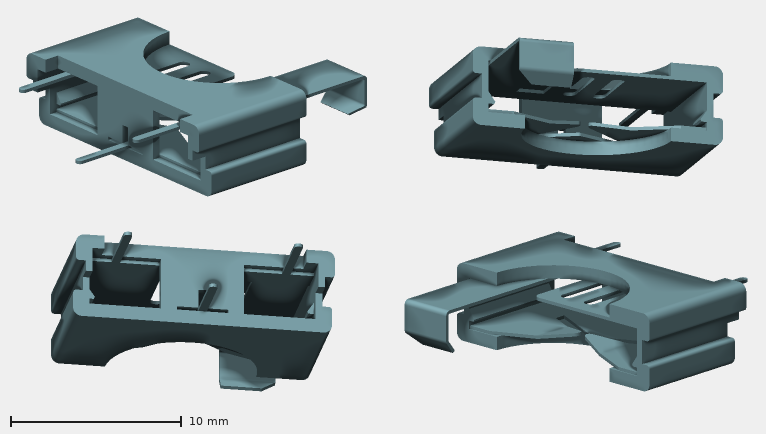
import cadquery as cq
import math


housing_width = 15.41
housing_height = 4.77
housing_depth = 7.36
ear_length = 0.97
ear_bottom = 2.47
ear_inner_x = 6.0
outer_corner_radius = 0.5
wall_thickness = 0.82
cavity_half_width = 6.72
groove_half_width = 7.13
groove_bottom = 1.65
groove_lip_radius = 0.2
web_half_width = 2.47
web_thickness = 0.5
thumb_radius = 4.5
key_slot_top = 2.17
slit_width = 3.06
rib_bottom = 1.35
rib_tip_z = 1.48
rib_top = 2.07
rib_reach = 0.4
rib_tip_setback = 0.07

sheet_thickness = 0.2
pin_width = 0.5
pin_length = 3.78
outer_pin_x = 5.08
corner_inner_radius = 0.1

strip_depth = 1.51
plate_right_x = 1.61
plate_corner_radius = 0.5
plate_slot_width = 0.77
plate_slot_spacing = 1.83
plate_slot_end_gap = 1.01
plate_rib_width = 1.08
arm_left_x = 3.3
arm_right_x = 6.62
arm_reach = 5.66
hook_bend_z = 2.03
hook_angle = 38.0
hook_inner_radius = 0.17
hook_length = 0.82
hook_cut_width = 0.89

finger_edge_angle = 25.0
finger_center_y = 4.77
finger_apex_x = -0.22
finger_tip_radius = 0.35
finger_rise_angle = 10.0
finger_bend_radius = 0.95
finger_bend_x = 2.59
lower_back_gap = 0.08
finger_root_x = 4.03
base_peak_y = 3.95
base_peak_radius = 0.2

half_width = housing_width / 2
cavity_bottom = wall_thickness
cavity_top = housing_height - wall_thickness
cavity_height = cavity_top - cavity_bottom
groove_top = housing_height - groove_bottom
sheet_front_y = web_thickness
arm_back_y = housing_depth + arm_reach
corner_outer_radius = corner_inner_radius + sheet_thickness
edge_slope = math.tan(math.radians(finger_edge_angle))


def box(x_min, x_max, y_min, y_max, z_min, z_max):
    """Box given by its limits along each axis."""
    size = (x_max - x_min, y_max - y_min, z_max - z_min)
    return cq.Workplane("XY").box(*size, centered=False).translate((x_min, y_min, z_min))


def make_pin(center_x, z_bottom):
    """Flat pin with a rounded tip, running forward from the front edge of a sheet."""
    radius = pin_width / 2
    tip_center_y = -pin_length + radius
    return (
        cq.Workplane("XY", origin=(center_x, 0, z_bottom))
        .moveTo(-radius, sheet_front_y)
        .lineTo(-radius, tip_center_y)
        .threePointArc((0, -pin_length), (radius, tip_center_y))
        .lineTo(radius, sheet_front_y)
        .close()
        .extrude(sheet_thickness)
    )


def make_housing_shell():
    """Block with rounded long edges, a groove along each side and a cavity from front to back."""
    shell = box(-half_width, half_width, -ear_length, housing_depth, 0, housing_height)
    shell = shell.edges("|Y").fillet(outer_corner_radius)
    for side in (-1, 1):
        x_limits = sorted((side * groove_half_width, side * half_width))
        shell = shell.cut(box(*x_limits, -ear_length, housing_depth, groove_bottom, groove_top))
        for lip_z in (groove_bottom, groove_top):
            lip = cq.selectors.NearestToPointSelector((side * half_width, housing_depth / 2, lip_z))
            shell = shell.edges("|Y").edges(lip).fillet(groove_lip_radius)
    cavity = box(-cavity_half_width, cavity_half_width, -ear_length, housing_depth, cavity_bottom, cavity_top)
    return shell.cut(cavity)


def make_front_web():
    """Thin wall in the middle of the front, slit for the lower contact and its pin."""
    web = box(-web_half_width, web_half_width, 0, web_thickness, cavity_bottom, cavity_top)
    slit_half = slit_width / 2
    slit = box(-slit_half, slit_half, 0, web_thickness, cavity_bottom, cavity_bottom + sheet_thickness)
    key_slot = box(-pin_width / 2, pin_width / 2, 0, web_thickness, cavity_bottom, key_slot_top)
    return web.cut(slit).cut(key_slot)


def make_retaining_rib(side):
    """Wedge along a side wall of the cavity."""
    wall_x = side * cavity_half_width
    tip_x = side * (cavity_half_width - rib_reach)
    foot_x = tip_x + side * rib_tip_setback
    return (
        cq.Workplane("XZ", origin=(0, web_thickness, 0))
        .polyline([(wall_x, rib_bottom), (foot_x, rib_bottom), (tip_x, rib_tip_z), (wall_x, rib_top)])
        .close()
        .extrude(web_thickness - housing_depth)
    )


def make_housing():
    housing = make_housing_shell()
    below_ears = box(-half_width, half_width, -ear_length, 0, 0, ear_bottom)
    between_ears = box(-ear_inner_x, ear_inner_x, -ear_length, 0, 0, housing_height)
    thumb_opening = (
        cq.Workplane("XY").center(0, housing_depth).circle(thumb_radius).extrude(housing_height)
    )
    housing = housing.cut(below_ears).cut(between_ears).cut(thumb_opening)
    housing = housing.union(make_front_web())
    for side in (-1, 1):
        housing = housing.union(make_retaining_rib(side))
    return housing


def make_slotted_plate(z_bottom):
    """Flat plate with two long round-ended slots."""
    thickness_limits = (z_bottom, z_bottom + sheet_thickness)
    plate = box(-cavity_half_width, plate_right_x, sheet_front_y, housing_depth, *thickness_limits)
    plate = plate.edges("|Z and >X and >Y").fillet(plate_corner_radius)
    slot_front_y = sheet_front_y + strip_depth
    slot_back_y = housing_depth - plate_slot_end_gap
    right_slot_x = plate_right_x - plate_rib_width - plate_slot_width / 2
    for slot_x in (right_slot_x - plate_slot_spacing, right_slot_x):
        slot = (
            cq.Workplane("XY", origin=(slot_x, (slot_front_y + slot_back_y) / 2, z_bottom))
            .slot2D(slot_back_y - slot_front_y, plate_slot_width, 90)
            .extrude(sheet_thickness)
        )
        plate = plate.cut(slot)
    return plate


def make_hooked_arm(z_bottom):
    """Strip bent down behind the housing, with a slanted end that has one corner cut off."""
    angle = math.radians(hook_angle)
    sin_a, cos_a = math.sin(angle), math.cos(angle)
    sin_half, cos_half = math.sin(angle / 2), math.cos(angle / 2)
    diagonal = math.sqrt(0.5)
    z_top = z_bottom + sheet_thickness
    inner_y = arm_back_y - sheet_thickness
    bend_y = arm_back_y - corner_outer_radius
    hook_outer_radius = hook_inner_radius + sheet_thickness
    hook_center_y = arm_back_y - hook_outer_radius
    upper_bend_z = z_top - corner_outer_radius
    lower_bend_z = hook_bend_z + hook_inner_radius * sin_a

    def upper_bend_point(radius):
        return (bend_y + radius * diagonal, upper_bend_z + radius * diagonal)

    def lower_bend_point(radius, sine, cosine):
        return (hook_center_y + radius * cosine, lower_bend_z - radius * sine)

    outer_start = lower_bend_point(hook_outer_radius, sin_a, cos_a)
    inner_start = lower_bend_point(hook_inner_radius, sin_a, cos_a)
    outer_end = (outer_start[0] - hook_length * sin_a, outer_start[1] - hook_length * cos_a)
    inner_end = (inner_start[0] - hook_length * sin_a, inner_start[1] - hook_length * cos_a)
    arm = (
        cq.Workplane("YZ", origin=(arm_left_x, 0, 0))
        .moveTo(sheet_front_y, z_top)
        .lineTo(bend_y, z_top)
        .threePointArc(upper_bend_point(corner_outer_radius), (arm_back_y, upper_bend_z))
        .lineTo(arm_back_y, lower_bend_z)
        .threePointArc(lower_bend_point(hook_outer_radius, sin_half, cos_half), outer_start)
        .lineTo(*outer_end)
        .lineTo(*inner_end)
        .lineTo(*inner_start)
        .threePointArc(lower_bend_point(hook_inner_radius, sin_half, cos_half), (inner_y, lower_bend_z))
        .lineTo(inner_y, upper_bend_z)
        .threePointArc(upper_bend_point(corner_inner_radius), (bend_y, z_bottom))
        .lineTo(sheet_front_y, z_bottom)
        .close()
        .extrude(arm_right_x - arm_left_x)
    )
    hook_plane = cq.Plane(
        origin=(arm_right_x, *inner_start), xDir=(1, 0, 0), normal=(0, cos_a, -sin_a)
    )
    corner = (
        cq.Workplane(hook_plane)
        .polyline([(0, 0), (0, hook_length), (-hook_cut_width, hook_length)])
        .close()
        .extrude(sheet_thickness)
    )
    return arm.cut(corner)


def make_upper_contact():
    z_bottom = cavity_top - sheet_thickness
    contact = box(
        -cavity_half_width, cavity_half_width,
        sheet_front_y, sheet_front_y + strip_depth,
        z_bottom, cavity_top,
    )
    contact = contact.union(make_slotted_plate(z_bottom)).union(make_hooked_arm(z_bottom))
    for pin_x in (-outer_pin_x, outer_pin_x):
        contact = contact.union(make_pin(pin_x, z_bottom))
    return contact


def make_base_sheet(z_bottom):
    """Flat sheet with a rounded peak in the middle and an arm along each side wall."""
    root_back_y = finger_center_y + edge_slope * (finger_root_x - finger_apex_x)
    back_y = housing_depth - lower_back_gap
    arm_inner_x = finger_apex_x + (back_y - finger_center_y) / edge_slope
    gap_end_y = base_peak_y - edge_slope * finger_root_x
    sheet = (
        cq.Workplane("XY", origin=(0, 0, z_bottom))
        .polyline([
            (-cavity_half_width, sheet_front_y),
            (cavity_half_width, sheet_front_y),
            (cavity_half_width, back_y),
            (arm_inner_x, back_y),
            (finger_root_x, root_back_y),
            (finger_root_x, gap_end_y),
            (0, base_peak_y),
            (-finger_root_x, gap_end_y),
            (-finger_root_x, root_back_y),
            (-arm_inner_x, back_y),
            (-cavity_half_width, back_y),
        ])
        .close()
        .extrude(sheet_thickness)
    )
    peak = cq.selectors.NearestToPointSelector((0, base_peak_y, z_bottom + sheet_thickness / 2))
    return sheet.edges("|Z").edges(peak).fillet(base_peak_radius)


def make_right_finger(z_bottom):
    """Tapered spring finger: flat at its root, then bent up towards the middle."""
    rise = math.radians(finger_rise_angle)
    lower_radius = finger_bend_radius + sheet_thickness
    bend_center_z = z_bottom + lower_radius

    def bend_point(radius, angle):
        return (finger_bend_x - radius * math.sin(angle), bend_center_z - radius * math.cos(angle))

    def far_point(radius):
        x, z = bend_point(radius, rise)
        run = x - finger_apex_x
        return (finger_apex_x, z + run * math.tan(rise))

    bent_strip = (
        cq.Workplane("XZ")
        .moveTo(finger_root_x, z_bottom)
        .lineTo(finger_bend_x, z_bottom)
        .threePointArc(bend_point(lower_radius, rise / 2), bend_point(lower_radius, rise))
        .lineTo(*far_point(lower_radius))
        .lineTo(*far_point(finger_bend_radius))
        .lineTo(*bend_point(finger_bend_radius, rise))
        .threePointArc(
            bend_point(finger_bend_radius, rise / 2), (finger_bend_x, z_bottom + sheet_thickness)
        )
        .lineTo(finger_root_x, z_bottom + sheet_thickness)
        .close()
        .extrude(-housing_depth)
    )
    root_half_width = edge_slope * (finger_root_x - finger_apex_x)
    outline = (
        cq.Workplane("XY", origin=(0, finger_center_y, cavity_bottom))
        .polyline([
            (finger_apex_x, 0),
            (finger_root_x, -root_half_width),
            (finger_root_x, root_half_width),
        ])
        .close()
        .extrude(cavity_height)
        .edges("|Z and <X")
        .fillet(finger_tip_radius)
    )
    return bent_strip.intersect(outline)


def make_lower_contact():
    finger = make_right_finger(cavity_bottom)
    contact = make_base_sheet(cavity_bottom)
    contact = contact.union(finger).union(finger.mirror("YZ"))
    return contact.union(make_pin(0, cavity_bottom))


housing = make_housing().solids()
upper_contact = make_upper_contact().solids()
lower_contact = make_lower_contact().solids()

result = cq.Compound.makeCompound([housing.val(), upper_contact.val(), lower_contact.val()])